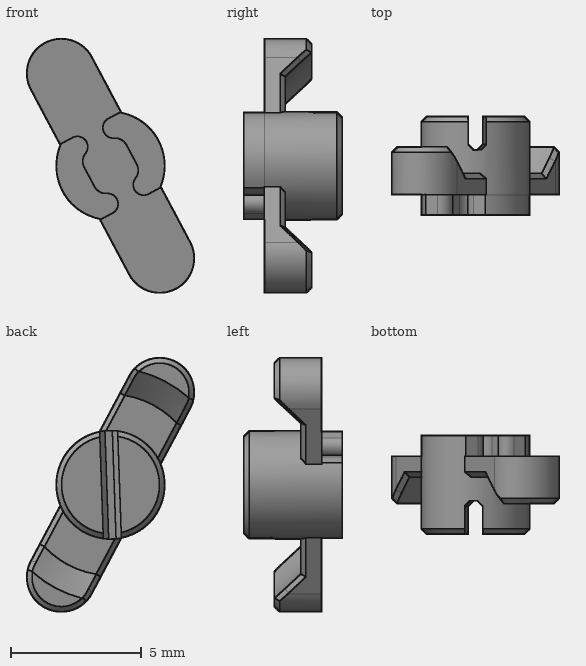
import cadquery as cq
import math


boss_radius = 4.15 / 2
total_depth = 3.77
chamfer = 0.2

arm_radius = 1.32
arm_reach = 4.0
arm_front = 0.79
arm_back = 2.6
web_back = 1.59
ramp_start_radius = 3.46
arm_angle = 62

lug_end = 1.63
lobe_radius = 0.4
lobe_side = 0.78
lug_inner = 0.91
hollow_radius = 0.5

slot_width = 0.69
slot_depth = 1.27
slot_corner = 0.2
slot_angle = 92


def make_boss():
    boss = cq.Workplane("XY").workplane(offset=arm_front).circle(boss_radius)
    boss = boss.extrude(total_depth - arm_front)
    return boss.faces(">Z").edges().chamfer(chamfer)


def make_arm():
    """One arm along +X: thin web, 45 degree conical ramp and thick round-ended pad."""
    arm = (
        cq.Workplane("XY").workplane(offset=arm_front)
        .moveTo(0, -arm_radius)
        .lineTo(arm_reach, -arm_radius)
        .threePointArc((arm_reach + arm_radius, 0), (arm_reach, arm_radius))
        .lineTo(0, arm_radius)
        .close()
        .extrude(arm_back - arm_front)
    )
    ramp_rise = arm_back - web_back
    clearance = (
        cq.Workplane("XZ")
        .moveTo(0, web_back)
        .lineTo(ramp_start_radius, web_back)
        .lineTo(ramp_start_radius + ramp_rise, arm_back)
        .lineTo(0, arm_back)
        .close()
        .revolve(360, (0, 0, 0), (0, 1, 0))
    )
    arm = arm.cut(clearance)
    side_walls = arm.faces("|Y or >X")
    return side_walls.edges("not (|Z or <Z)").chamfer(chamfer)


def make_lug():
    """Lug on the +Y side with a round lobe at each end and a hollowed inner wall."""
    hollow_side = lug_inner - hollow_radius
    centre_gap = lobe_radius + hollow_radius
    side_step = lobe_side - hollow_side
    lobe_x = lug_end - lobe_radius
    hollow_x = lobe_x - math.sqrt(centre_gap**2 - side_step**2)
    blend_angle = math.atan2(side_step, lobe_x - hollow_x)
    touch_x = hollow_x + hollow_radius * math.cos(blend_angle)
    touch_y = hollow_side + hollow_radius * math.sin(blend_angle)
    hollow_mid_angle = (blend_angle + math.pi / 2) / 2
    hollow_mid_x = hollow_x + hollow_radius * math.cos(hollow_mid_angle)
    hollow_mid_y = hollow_side + hollow_radius * math.sin(hollow_mid_angle)
    lug_corner_y = math.sqrt(boss_radius**2 - lug_end**2)
    lobe_mid_y = lobe_side - lobe_radius
    return (
        cq.Workplane("XY")
        .moveTo(-hollow_x, lug_inner)
        .lineTo(hollow_x, lug_inner)
        .threePointArc((hollow_mid_x, hollow_mid_y), (touch_x, touch_y))
        .threePointArc((lobe_x, lobe_mid_y), (lug_end, lobe_side))
        .lineTo(lug_end, lug_corner_y)
        .threePointArc((0, boss_radius), (-lug_end, lug_corner_y))
        .lineTo(-lug_end, lobe_side)
        .threePointArc((-lobe_x, lobe_mid_y), (-touch_x, touch_y))
        .threePointArc((-hollow_mid_x, hollow_mid_y), (-hollow_x, lug_inner))
        .close()
        .extrude(arm_front)
    )


def make_slot():
    """Cutter along X, open at the back, with chamfered floor corners."""
    half_width = slot_width / 2
    floor_half_width = half_width - slot_corner
    floor = total_depth - slot_depth
    return (
        cq.Workplane("YZ")
        .moveTo(-half_width, total_depth)
        .lineTo(-half_width, floor + slot_corner)
        .lineTo(-floor_half_width, floor)
        .lineTo(floor_half_width, floor)
        .lineTo(half_width, floor + slot_corner)
        .lineTo(half_width, total_depth)
        .close()
        .extrude(boss_radius, both=True)
        .rotate((0, 0, 0), (0, 0, 1), slot_angle - arm_angle)
    )


body = make_boss().cut(make_slot())
arm = make_arm()
lug = make_lug()
for turn in (0, 180):
    body = body.union(arm.rotate((0, 0, 0), (0, 0, 1), turn))
    body = body.union(lug.rotate((0, 0, 0), (0, 0, 1), turn))

body = body.rotate((0, 0, 0), (0, 0, 1), arm_angle)
result = body.rotate((0, 0, 0), (1, 0, 0), -90).clean()